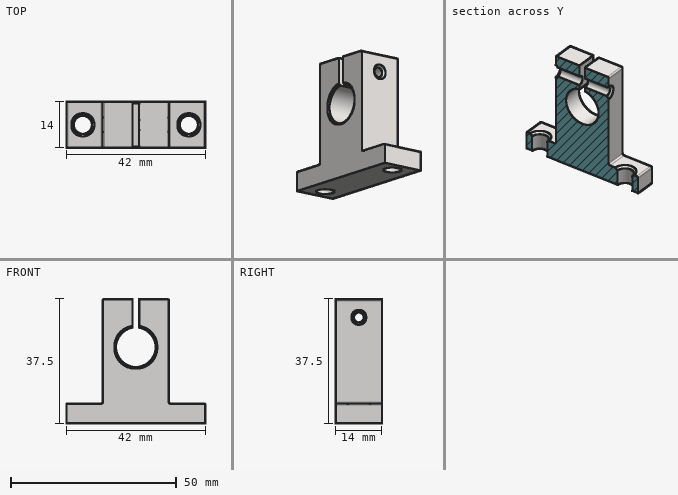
import cadquery as cq

LENGTH = 42.0
DEPTH = 14.0
HEIGHT = 37.5
BASE_THICKNESS = 6.0
COLUMN_WIDTH = 20.0
EDGE_RADIUS = 0.5

BORE_DIAMETER = 12.0
BORE_HEIGHT = 23.0
BORE_CHAMFER = 0.5
SLOT_WIDTH = 2.0

MOUNT_SPACING = 32.0
MOUNT_DIAMETER = 5.5
MOUNT_RIM_DIAMETER = 7.0

SCREW_HEIGHT = 32.0
SCREW_DIAMETER = 3.0
SCREW_RIM_DIAMETER = 4.5


def bevelled_hole(diameter, rim_diameter, length):
    """Cutter along +Z from the origin, flared at 45 degrees at both ends."""
    radius = diameter / 2
    rim_radius = rim_diameter / 2
    bevel = rim_radius - radius
    return (
        cq.Workplane("XZ")
        .lineTo(rim_radius, 0)
        .lineTo(radius, bevel)
        .lineTo(radius, length - bevel)
        .lineTo(rim_radius, length)
        .lineTo(0, length)
        .close()
        .revolve(360, (0, 0, 0), (0, 1, 0))
    )


def make_body():
    """Inverted-T block with its upper corners and column roots rounded."""
    base = cq.Workplane("XY").box(LENGTH, DEPTH, BASE_THICKNESS, centered=(True, True, False))
    column = cq.Workplane("XY").box(COLUMN_WIDTH, DEPTH, HEIGHT, centered=(True, True, False))
    block = base.union(column)
    above_underside = cq.selectors.BoxSelector(
        (-LENGTH, -DEPTH, BASE_THICKNESS / 2),
        (LENGTH, DEPTH, 2 * HEIGHT),
    )
    return block.edges("|Y").edges(above_underside).fillet(EDGE_RADIUS)


def make_bore():
    """Shaft bore along Y, bevelled on both faces."""
    cutter = bevelled_hole(BORE_DIAMETER, BORE_DIAMETER + 2 * BORE_CHAMFER, DEPTH)
    return cutter.rotate((0, 0, 0), (1, 0, 0), 90).translate((0, DEPTH / 2, BORE_HEIGHT))


def make_slot():
    """Clamping slot from the bore up through the top face."""
    slot = cq.Workplane("XY").box(SLOT_WIDTH, DEPTH, HEIGHT - BORE_HEIGHT, centered=(True, True, False))
    return slot.translate((0, 0, BORE_HEIGHT))


def make_mount_hole(x):
    """Vertical mounting hole through one foot, bevelled at 45 degrees at its top rim only."""
    radius = MOUNT_DIAMETER / 2
    rim_radius = MOUNT_RIM_DIAMETER / 2
    bevel = rim_radius - radius
    bore = cq.Solid.makeCylinder(radius, BASE_THICKNESS)
    rim = cq.Solid.makeCone(radius, rim_radius, bevel).translate(cq.Vector(0, 0, BASE_THICKNESS - bevel))
    return cq.Workplane(bore).union(cq.Workplane(rim)).translate((x, 0, 0))


def make_screw_hole():
    """Clamp screw hole along X through both column halves, bevelled on both sides of the column."""
    cutter = bevelled_hole(SCREW_DIAMETER, SCREW_RIM_DIAMETER, COLUMN_WIDTH)
    return cutter.rotate((0, 0, 0), (0, 1, 0), 90).translate((-COLUMN_WIDTH / 2, 0, SCREW_HEIGHT))


result = make_body().cut(make_bore()).cut(make_slot()).cut(make_screw_hole())
for side in (-1, 1):
    result = result.cut(make_mount_hole(side * MOUNT_SPACING / 2))